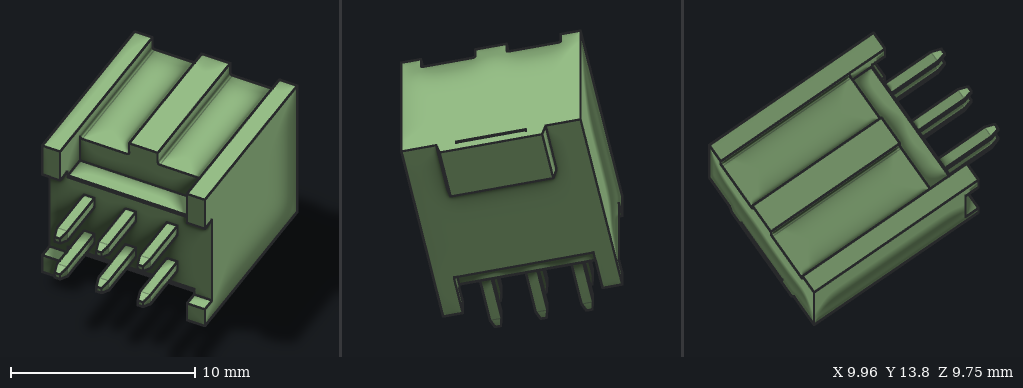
import cadquery as cq

WIDTH = 9.96
HEIGHT = 8.95
RAIL_LENGTH = 10.9
FACE_DISTANCE = 10.05
RAIL_WIDTH = 1.1
UPPER_RAIL_HEIGHT = 2.05
LOWER_RAIL_HEIGHT = 1.19

CHANNEL_DEPTH = 0.8
RIB_WIDTH = 1.75
CHANNEL_CORNER_RADIUS = 0.14

STEP_DEPTH = 1.5
UPPER_STEP_HEIGHT = 2.37
LOWER_STEP_HEIGHT = 1.51
STEP_EDGE_CHAMFER = 0.07

TAB_HEIGHT = 0.8
TAB_LENGTH = 2.9
TAB_TOP_WIDTH = 6.08
TAB_BOTTOM_WIDTH = 5.7
TAB_SLOT_WIDTH = 3.87
TAB_SLOT_HEIGHT = 0.1

PIN_PITCH = 2.54
PIN_COLUMNS = 3
PIN_ROWS = 2
PIN_SIZE = 0.65
PIN_TIP_SIZE = 0.33
PIN_TIP_LENGTH = 0.58
PIN_END_DISTANCE = 13.8
PIN_ROW_MID_HEIGHT = 4.075

INNER_WIDTH = WIDTH - 2 * RAIL_WIDTH


def block(x_size, y_front, y_rear, z_low, z_high):
    """Box centred on x = 0 between the given y and z limits."""
    return (
        cq.Workplane("XY")
        .box(x_size, y_rear - y_front, z_high - z_low, centered=(True, False, False))
        .translate((0, y_front, z_low))
    )


def make_housing():
    """Block whose four pin-side corners extend as rail ends."""
    housing = block(WIDTH, -RAIL_LENGTH, 0, 0, HEIGHT)
    between_rails = block(INNER_WIDTH, -RAIL_LENGTH, -FACE_DISTANCE, 0, HEIGHT)
    between_rail_ends = block(
        WIDTH, -RAIL_LENGTH, -FACE_DISTANCE, LOWER_RAIL_HEIGHT, HEIGHT - UPPER_RAIL_HEIGHT
    )
    return housing.cut(between_rails).cut(between_rail_ends)


def make_channel(side):
    """Top channel on the given side (+1 or -1) of the rib, with rounded floor corners."""
    width = (INNER_WIDTH - RIB_WIDTH) / 2
    center_x = side * (RIB_WIDTH + width) / 2
    channel = block(width, -RAIL_LENGTH, 0, HEIGHT - CHANNEL_DEPTH, HEIGHT)
    channel = channel.edges("|Y and <Z").fillet(CHANNEL_CORNER_RADIUS)
    return channel.translate((center_x, 0, 0))


def make_step(shelf_z, outer_z):
    """Cutter for a step from its shelf to the outer face, with a bevel along the shelf's edge."""
    step_rear = STEP_DEPTH - FACE_DISTANCE
    bevel_z = shelf_z - STEP_EDGE_CHAMFER if outer_z > shelf_z else shelf_z + STEP_EDGE_CHAMFER
    profile = [
        (step_rear, outer_z),
        (step_rear, shelf_z),
        (STEP_EDGE_CHAMFER - FACE_DISTANCE, shelf_z),
        (-FACE_DISTANCE, bevel_z),
        (-FACE_DISTANCE, outer_z),
    ]
    return cq.Workplane("YZ").polyline(profile).close().extrude(INNER_WIDTH / 2, both=True)


def make_tab():
    """Tapered tab with a shallow slot running under the housing."""
    outline = [
        (-TAB_TOP_WIDTH / 2, 0),
        (TAB_TOP_WIDTH / 2, 0),
        (TAB_BOTTOM_WIDTH / 2, -TAB_HEIGHT),
        (-TAB_BOTTOM_WIDTH / 2, -TAB_HEIGHT),
    ]
    tab = cq.Workplane("XZ").polyline(outline).close().extrude(TAB_LENGTH)
    return tab.cut(block(TAB_SLOT_WIDTH, -TAB_LENGTH, 0, -TAB_SLOT_HEIGHT, 0))


def make_pin(x, z):
    """Square pin with a tapered tip, starting at the pin-side face."""
    shoulder_distance = PIN_END_DISTANCE - PIN_TIP_LENGTH
    shank = (
        cq.Workplane("XZ", origin=(x, -FACE_DISTANCE, z))
        .rect(PIN_SIZE, PIN_SIZE)
        .extrude(shoulder_distance - FACE_DISTANCE)
    )
    tip = (
        cq.Workplane("XZ", origin=(x, -shoulder_distance, z))
        .rect(PIN_SIZE, PIN_SIZE)
        .workplane(offset=PIN_TIP_LENGTH)
        .rect(PIN_TIP_SIZE, PIN_TIP_SIZE)
        .loft()
    )
    return shank.union(tip)


result = make_housing()
for side in (-1, 1):
    result = result.cut(make_channel(side))
result = result.cut(make_step(HEIGHT - UPPER_STEP_HEIGHT, HEIGHT))
result = result.cut(make_step(LOWER_STEP_HEIGHT, 0))
result = result.union(make_tab())
for column in range(PIN_COLUMNS):
    for row in range(PIN_ROWS):
        pin_x = (column - (PIN_COLUMNS - 1) / 2) * PIN_PITCH
        pin_z = PIN_ROW_MID_HEIGHT + (row - (PIN_ROWS - 1) / 2) * PIN_PITCH
        result = result.union(make_pin(pin_x, pin_z))